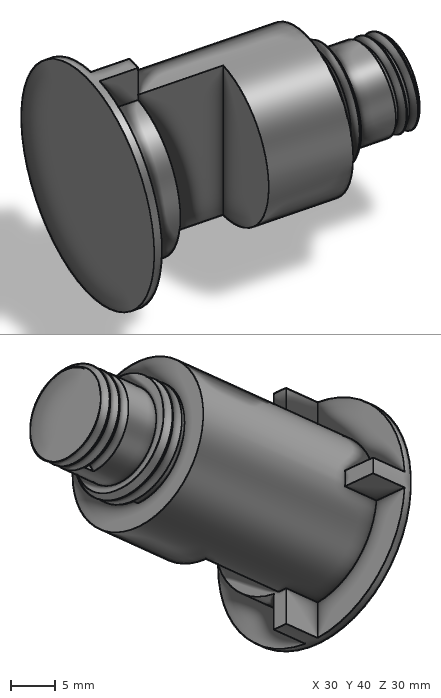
import cadquery as cq

total_length = 40
flange_diameter = 30
flange_thickness = 1.0

body_diameter = 21.0
ring_diameter = 15.0
ring_length = 3.0
neck_diameter = 12
neck_length = 8.5
ring_top = total_length - neck_length
body_top = ring_top - ring_length

tab_width = 2
tab_top = 6
tab_angles = (90, 180, 270)

notch_floor_x = 0.2
notch_top = 17.5

pitch = ring_length / 2
groove_depth = 0.7
crest_flat = 0.1
groove_overshoot = 0.02
neck_groove_turns = 2.5
start_angle = 90
groove_extra_turns = 1


def cylinder(diameter, bottom, top):
    """Solid cylinder on the local Z axis."""
    return cq.Workplane("XY").workplane(offset=bottom).circle(diameter / 2).extrude(top - bottom)


def thread_groove(diameter, start, turns, left_handed):
    """V-shaped helical cutter whose centre line starts at the given height."""
    origin = cq.Vector(0, 0, 0)
    axis = cq.Vector(0, 0, 1)
    length = turns * pitch
    crest_radius = diameter / 2
    root_radius = crest_radius - groove_depth
    outer_radius = crest_radius + groove_overshoot
    half_width = (pitch - crest_flat) / 2
    corners = [(root_radius, 0), (outer_radius, -half_width), (outer_radius, half_width)]
    helices = [
        cq.Wire.makeHelix(pitch, length, radius, center=cq.Vector(0, 0, height), lefthand=left_handed)
        for radius, height in corners
    ]
    flanks = [cq.Face.makeRuledSurface(helices[i - 1], helices[i]) for i in range(len(helices))]
    end_angle = 360 * turns * (-1 if left_handed else 1)
    outline = [cq.Vector(radius, 0, height) for radius, height in corners]
    first_end = cq.Face.makeFromWires(cq.Wire.makePolygon(outline, close=True))
    last_end = first_end.rotate(origin, axis, end_angle).translate(cq.Vector(0, 0, length))
    shell = cq.Shell.makeShell([*flanks, first_end, last_end])
    groove = cq.Solid.makeSolid(shell).fix()
    return cq.Workplane(groove.rotate(origin, axis, start_angle).translate(cq.Vector(0, 0, start)))


def threaded_ring():
    """Ring with a left-handed groove starting at the body and running out through its top."""
    groove = thread_groove(ring_diameter, body_top, ring_length / pitch + groove_extra_turns, True)
    return cylinder(ring_diameter, body_top, ring_top).cut(groove)


def threaded_neck():
    """Plain neck with a right-handed groove running out through its free end."""
    groove_start = total_length - neck_groove_turns * pitch
    groove = thread_groove(neck_diameter, groove_start, neck_groove_turns + groove_extra_turns, False)
    return cylinder(neck_diameter, ring_top, total_length).cut(groove)


def notched_body():
    """Main cylinder with one side cut away above the tabs."""
    notch = cq.Workplane("XY").box(
        body_diameter, body_diameter, notch_top - tab_top, centered=(False, True, False)
    ).translate((notch_floor_x, 0, tab_top))
    return cylinder(body_diameter, flange_thickness, body_top).cut(notch)


def tabs():
    """Radial tabs, trimmed to the flange outline."""
    bar = cq.Workplane("XY").box(flange_diameter, tab_width, tab_top, centered=(False, True, False))
    trim = cylinder(flange_diameter, 0, tab_top)
    bars = cq.Workplane("XY")
    for angle in tab_angles:
        bars = bars.add(bar.rotate((0, 0, 0), (0, 0, 1), angle))
    return bars.combine().intersect(trim)


part = cylinder(flange_diameter, 0, flange_thickness).union(tabs()).union(notched_body())
part = part.union(threaded_ring()).union(threaded_neck())

result = part.rotate((0, 0, 0), (1, 0, 0), -90)